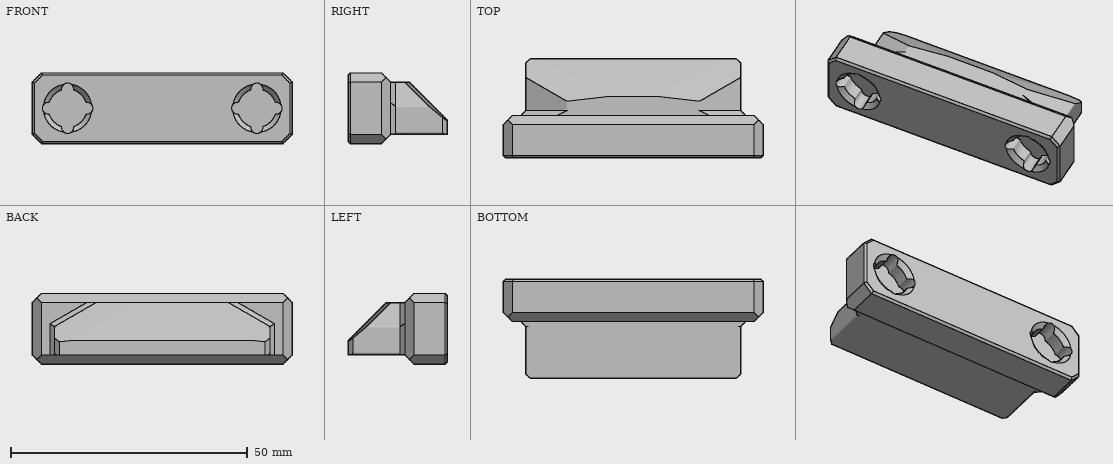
import cadquery as cq
import math

length = 55.0
height = 15.0
plate_depth = 9.0
corner_cut = 2.0
rear_bevel = 2.0
front_chamfer = 0.5

total_depth = 21.0
wedge_half_height = height / 2 - rear_bevel
wedge_half_width = 22.75
wedge_end_chamfer = 1.0
wedge_edge_radius = 0.5
shoulder_half_width = 14.0
shoulder_angle = 30.0
root_flare = 1.0

crest_depth = 13.0
crest_half_width = 5.4
facet_setback = 1.0

socket_offset = 20.0
socket_radius = 4.05
mouth_radius = 5.1
mouth_depth = mouth_radius - socket_radius
socket_depth = 4.05
lobe_count = 4
lobe_radius = 1.25
lobe_reach = 5.35
lobe_edge_radius = 0.3

shoulder_slope = math.tan(math.radians(shoulder_angle))


def make_plate():
    """Plate with bevelled rear rim, cut corners and a chamfered front rim."""
    block = cq.Workplane("XY").box(length, plate_depth, height, centered=(True, False, True))
    bevelled = block.faces(">Y").chamfer(rear_bevel)
    octagon = block.edges("|Y").chamfer(corner_cut)
    return bevelled.intersect(octagon).faces("<Y").chamfer(front_chamfer)


def wedge_outline(flare):
    """Corner points (X, Z) of the wedge section, its sides and shoulders moved out by flare."""
    side = wedge_half_width + flare
    shoulder = shoulder_half_width + flare / math.sin(math.radians(shoulder_angle))
    side_top = wedge_half_height - (side - shoulder) * shoulder_slope
    right_half = [
        (side, -wedge_half_height),
        (side, side_top),
        (shoulder, wedge_half_height),
    ]
    left_half = [(-x, z) for x, z in reversed(right_half)]
    return right_half + left_half


def make_root():
    """Flared foot that spreads the wedge onto the plate."""
    foot = cq.Workplane("XZ", origin=(0, plate_depth, 0)).polyline(wedge_outline(root_flare)).close()
    return foot.workplane(offset=-root_flare).polyline(wedge_outline(0)).close().loft(ruled=True)


def space_beyond(point, normal):
    """Block filling the space on the outer side of a sloping plane."""
    size = 3 * length
    return cq.Workplane(cq.Plane(origin=point, normal=normal)).rect(size, size).extrude(size)


def make_wedge():
    """Wedge with rounded long edges, a 45 degree rear slope and a turned facet at each end."""
    wedge = cq.Workplane("XZ", origin=(0, plate_depth, 0)).polyline(wedge_outline(0)).close()
    wedge = wedge.extrude(plate_depth - total_depth)
    wedge = wedge.edges("|Y").fillet(wedge_edge_radius)

    end_corners = cq.Workplane("XY").box(
        2 * wedge_half_width, total_depth, height, centered=(True, False, True)
    )
    end_corners = end_corners.edges("|Z and >Y").chamfer(wedge_end_chamfer)
    wedge = wedge.intersect(end_corners)

    wedge = wedge.cut(space_beyond((0, crest_depth, wedge_half_height), (0, 1, 1)))
    for side in (-1, 1):
        top_edge = cq.Vector(side * (shoulder_half_width - crest_half_width), -facet_setback, 0)
        crease = cq.Vector(side / shoulder_slope, 1, -1)
        outward = top_edge.cross(crease) * side
        crest_end = (side * crest_half_width, crest_depth, wedge_half_height)
        wedge = wedge.cut(space_beyond(crest_end, outward))
    return wedge


def make_socket():
    """Lobed blind hole with a conical mouth, on the Y axis and starting at Y = 0."""
    bore = cq.Workplane("XZ").circle(socket_radius).extrude(-socket_depth)
    lobes = (
        cq.Workplane("XZ")
        .polarArray(lobe_reach - lobe_radius, 0, 360, lobe_count)
        .circle(lobe_radius)
        .extrude(-socket_depth)
    )
    bore = bore.union(lobes).edges("|Y").fillet(lobe_edge_radius)
    mouth = cq.Workplane("XZ").circle(mouth_radius)
    mouth = mouth.workplane(offset=-mouth_depth).circle(socket_radius).loft()
    return bore.union(mouth)


result = make_plate().union(make_root()).union(make_wedge())
for socket_x in (-socket_offset, socket_offset):
    result = result.cut(make_socket().translate((socket_x, 0, 0)))